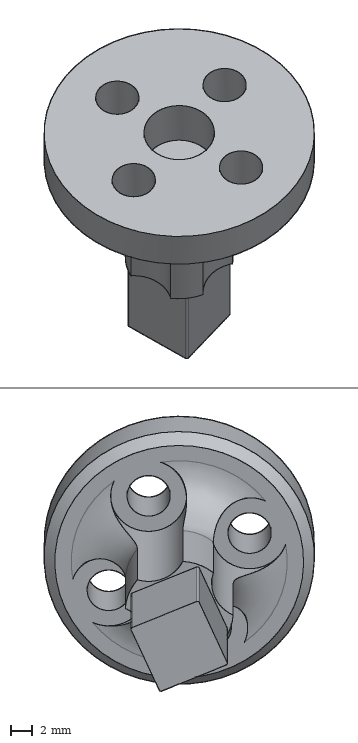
import cadquery as cq

flange_diameter = 25.0
flange_thickness = 5.0
flange_chamfer = 1.0
total_length = 27
neck_diameter = 10
neck_length = 13.01
neck_fillet = 5.0
square_width = 6.85
square_corner_radius = 0.2
hole_diameter = 4.0
hole_circle_diameter = 14.2
hole_count = 4
head_clearance_diameter = 7.02
bore_diameter = 6.5
bore_depth = 5.0

flange_bottom = total_length - flange_thickness
neck_bottom = flange_bottom - neck_length


def turned_body():
    """Chamfered flange and neck joined by a concave fillet."""
    flange_radius = flange_diameter / 2
    neck_radius = neck_diameter / 2
    fillet_middle = neck_fillet * (1 - 0.5**0.5)
    return (
        cq.Workplane("XZ")
        .moveTo(0, neck_bottom)
        .lineTo(neck_radius, neck_bottom)
        .lineTo(neck_radius, flange_bottom - neck_fillet)
        .threePointArc(
            (neck_radius + fillet_middle, flange_bottom - fillet_middle),
            (neck_radius + neck_fillet, flange_bottom),
        )
        .lineTo(flange_radius - flange_chamfer, flange_bottom)
        .lineTo(flange_radius, flange_bottom + flange_chamfer)
        .lineTo(flange_radius, total_length)
        .lineTo(0, total_length)
        .close()
        .revolve(360, (0, 0, 0), (0, 1, 0))
    )


def square_drive():
    """Square end with slightly rounded vertical edges."""
    return (
        cq.Workplane("XY")
        .rect(square_width, square_width)
        .extrude(neck_bottom)
        .edges("|Z")
        .fillet(square_corner_radius)
    )


def cylinders_on_hole_circle(diameter, bottom, top):
    """One vertical cylinder at each screw position."""
    return (
        cq.Workplane("XY", origin=(0, 0, bottom))
        .polarArray(hole_circle_diameter / 2, 0, 360, hole_count)
        .circle(diameter / 2)
        .extrude(top - bottom)
    )


def central_bore():
    """Flat-bottomed bore in the top face."""
    return (
        cq.Workplane("XY", origin=(0, 0, total_length - bore_depth))
        .circle(bore_diameter / 2)
        .extrude(bore_depth)
    )


result = (
    turned_body()
    .cut(cylinders_on_hole_circle(head_clearance_diameter, neck_bottom, flange_bottom))
    .cut(cylinders_on_hole_circle(hole_diameter, flange_bottom, total_length))
    .cut(central_bore())
    .union(square_drive())
)